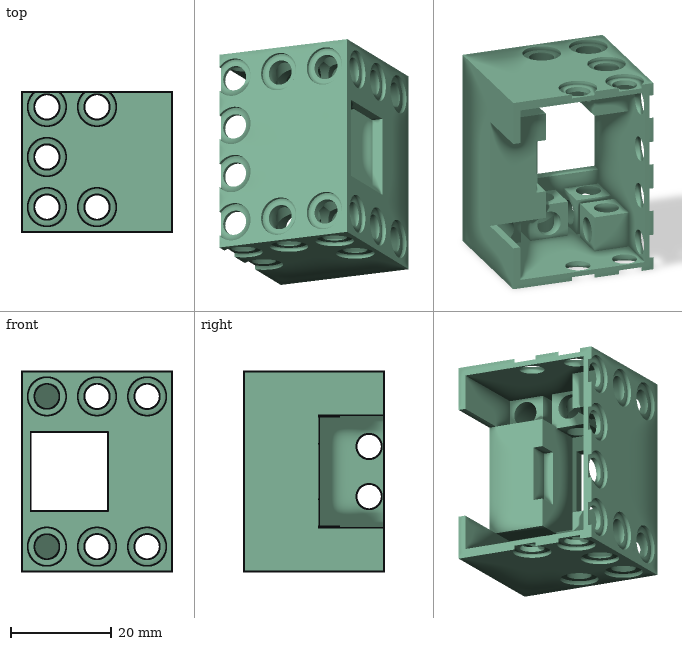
import cadquery as cq

LENGTH = 30.0
DEPTH = 28.0
HEIGHT = 40.0

PITCH = 10.0
FIRST = PITCH / 2
HOLE_RADIUS = 5.0 / 2
RECESS_RADIUS = 7.7 / 2
RECESS_DEPTH = 0.8

WALL = 1.8
FRONT_WALL = 2.2
RIGHT_WALL = 1.5
SOCKET_DEPTH = 9.1
SOCKET_WIDTH = 8.0

WINDOW_LEFT = WALL
WINDOW_WIDTH = 15.35
WINDOW_HEIGHT = 15.75

CORE_LEFT = 18.0
CORE_BACK = 15.0
CORE_HEIGHT = 22.4
NOTCH_FRONT = 10.5
NOTCH_DEPTH = 2.0
NOTCH_HEIGHT = 11.0

columns = [FIRST + PITCH * i for i in range(3)]
rows = [FIRST + PITCH * i for i in range(4)]
low_row, high_row = rows[0], rows[-1]
near, middle, far = columns


def box(x_range, y_range, z_range):
    """Axis-aligned box between the given limits."""
    size = [high - low for low, high in (x_range, y_range, z_range)]
    return cq.Workplane("XY").box(*size, centered=False).translate(
        (x_range[0], y_range[0], z_range[0])
    )


def around(centre):
    """Limits of a socket across its axis."""
    return (centre - SOCKET_WIDTH / 2, centre + SOCKET_WIDTH / 2)


def pin_hole(point, direction, depth):
    """Round hole with a shallow wider recess at its mouth."""
    start = cq.Vector(*point)
    axis = cq.Vector(*direction)
    bore = cq.Solid.makeCylinder(HOLE_RADIUS, depth, start, axis)
    recess = cq.Solid.makeCylinder(RECESS_RADIUS, RECESS_DEPTH, start, axis)
    return cq.Workplane("XY").add(bore.fuse(recess))


def cavity():
    """Hollow inside the walls, open at the back."""
    return box((WALL, LENGTH - RIGHT_WALL), (FRONT_WALL, DEPTH), (WALL, HEIGHT - WALL))


def centred_on_height(height):
    """Limits of a span centred on the middle of the body height."""
    return ((HEIGHT - height) / 2, (HEIGHT + height) / 2)


def core():
    """Solid core beside the hollow, with its notch open towards the back."""
    solid = box((CORE_LEFT, LENGTH), (0, CORE_BACK), centred_on_height(CORE_HEIGHT))
    notch = box(
        (CORE_LEFT, CORE_LEFT + NOTCH_DEPTH),
        (NOTCH_FRONT, CORE_BACK),
        centred_on_height(NOTCH_HEIGHT),
    )
    return solid.cut(notch)


def side_opening():
    """Opening through the right wall, from the core to the open back."""
    return box((LENGTH - RIGHT_WALL, LENGTH), (CORE_BACK, DEPTH), centred_on_height(CORE_HEIGHT))


def window():
    """Rectangular window through the front wall into the hollow."""
    return box(
        (WINDOW_LEFT, WINDOW_LEFT + WINDOW_WIDTH),
        (0, FRONT_WALL),
        centred_on_height(WINDOW_HEIGHT),
    )


def sockets():
    """Solid blocks that carry the deep pin holes."""
    blocks = []
    inward = (0, SOCKET_DEPTH)
    for z_range in (inward, (HEIGHT - SOCKET_DEPTH, HEIGHT)):
        blocks.append(box(inward, inward, z_range))
        blocks.append(box(inward, around(middle), z_range))
        for x in (middle, far):
            blocks.append(box(around(x), inward, z_range))
    return blocks


def pin_holes():
    """Deep holes in the sockets and short ones through the thin walls."""
    holes = []
    for z in (low_row, high_row):
        for x in columns:
            holes.append(pin_hole((x, 0, z), (0, 1, 0), SOCKET_DEPTH))
        for y in (near, middle):
            holes.append(pin_hole((0, y, z), (1, 0, 0), SOCKET_DEPTH))
    for z in rows:
        holes.append(pin_hole((0, far, z), (1, 0, 0), WALL))
    for z, down in ((HEIGHT, -1), (0, 1)):
        for x, y in ((near, near), (middle, near), (near, middle)):
            holes.append(pin_hole((x, y, z), (0, 0, down), SOCKET_DEPTH))
        for x in (near, middle):
            holes.append(pin_hole((x, far, z), (0, 0, down), WALL))
    return holes


result = box((0, LENGTH), (0, DEPTH), (0, HEIGHT)).cut(cavity())
for block in sockets():
    result = result.union(block)
result = result.union(core()).cut(side_opening()).cut(window())
for hole in pin_holes():
    result = result.cut(hole)